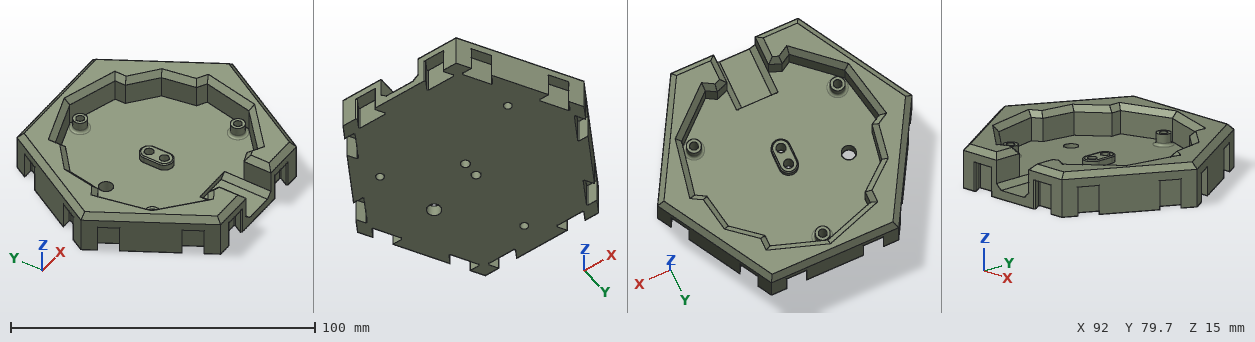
import cadquery as cq
import math

side_count = 6
across_corners = 92.0
across_flats = across_corners * math.cos(math.radians(30))
height = 15.0
edge_chamfer = 2.0
floor_z = 5.0

sector_count = 3
apex_radius = 34.0
valley_radius = 32.0
tooth_x = 18.1
tooth_outer_y = 28.0
tooth_inner_y = 24.0

exit_width = 15.0
channel_floor_z = 3.0
channel_floor_width = 10.8
channel_end_y = -21.7

post_count = 3
post_circle_radius = 30.0
post_diameter = 5.0
post_hole_diameter = 2.85
post_top_z = 9.0
post_fillet = 1.0

boss_hole_spacing = 6.0
boss_hole_diameter = 3.2
boss_width = 6.4
boss_top_z = 7.45
boss_chamfer_width = 0.5
boss_chamfer_height = 0.4

floor_hole_diameter = 5.0
floor_hole_position = (-20.0, 7.0)

notch_offset = 13.9
notch_height = 10.0
throat_width = 7.2
undercut_depth = 3.1
bevel_depth = 0.5
flank_slope = math.tan(math.radians(30))
lead_in = 0.5

overcut = 4.6


def make_body():
    body = cq.Workplane("XY").polygon(side_count, across_corners).extrude(height)
    return body.faces(">Z").chamfer(edge_chamfer)


def rotated(point, degrees):
    angle = math.radians(degrees)
    x, y = point
    return (
        x * math.cos(angle) - y * math.sin(angle),
        x * math.sin(angle) + y * math.cos(angle),
    )


def pocket_outline():
    """Corners of the pocket, clockwise from the apex at +Y."""
    sector_angle = 360 / sector_count
    valley_angle = 90 - sector_angle / 2
    outer_tooth = (tooth_x, tooth_outer_y)
    inner_tooth = (tooth_x, tooth_inner_y)
    valley = rotated((valley_radius, 0), valley_angle)
    mirrored_teeth = [rotated((x, -y), 2 * valley_angle) for x, y in (inner_tooth, outer_tooth)]
    sector = [(0, apex_radius), outer_tooth, inner_tooth, valley] + mirrored_teeth
    return [rotated(point, -sector_angle * turn) for turn in range(sector_count) for point in sector]


def make_opening():
    """Pocket and cable exit joined, with a 45 degree flare around the top rim."""
    outer_y = -across_flats / 2 - overcut
    pocket = cq.Workplane("XY", origin=(0, 0, floor_z)).polyline(pocket_outline()).close()
    cable_exit = (
        cq.Workplane("XY", origin=(0, (outer_y + channel_end_y) / 2, floor_z))
        .rect(exit_width, channel_end_y - outer_y)
    )
    depth = height - floor_z
    walls = pocket.extrude(depth).union(cable_exit.extrude(depth))
    top_outline = walls.faces(">Z").wires().val()
    lower_rim = top_outline.translate((0, 0, -edge_chamfer))
    upper_rim = top_outline.offset2D(edge_chamfer, "intersection")[0]
    flare = cq.Solid.makeLoft([lower_rim, upper_rim], True)
    return walls.union(cq.Workplane(flare))


def make_channel():
    """Trapezoidal channel running from inside the pocket out through the front wall."""
    half_top = exit_width / 2
    half_bottom = channel_floor_width / 2
    return (
        cq.Workplane("XZ", origin=(0, channel_end_y, 0))
        .moveTo(-half_bottom, channel_floor_z)
        .lineTo(half_bottom, channel_floor_z)
        .lineTo(half_top, floor_z)
        .lineTo(-half_top, floor_z)
        .close()
        .extrude(across_flats / 2 + overcut)
    )


def post_centers():
    top_post = (0, post_circle_radius)
    return [rotated(top_post, index * 360 / post_count) for index in range(post_count)]


def make_posts():
    """Screw posts with filleted feet."""
    radius = post_diameter / 2
    post = (
        cq.Workplane("XZ")
        .moveTo(0, floor_z)
        .lineTo(radius + post_fillet, floor_z)
        .radiusArc((radius, floor_z + post_fillet), post_fillet)
        .lineTo(radius, post_top_z)
        .lineTo(0, post_top_z)
        .close()
        .revolve(360, (0, 0), (0, 1))
    )
    posts = cq.Workplane("XY")
    for x, y in post_centers():
        posts = posts.add(post.translate((x, y, 0)))
    return posts.combine()


def make_boss():
    boss = (
        cq.Workplane("XY")
        .workplane(offset=floor_z)
        .slot2D(boss_hole_spacing + boss_width, boss_width, 90)
        .extrude(boss_top_z - floor_z)
    )
    return boss.faces(">Z").chamfer(boss_chamfer_height, boss_chamfer_width)


def make_holes():
    """All vertical through holes."""
    def drill(points, diameter):
        return cq.Workplane("XY").pushPoints(points).circle(diameter / 2).extrude(height)

    boss_points = [(0, boss_hole_spacing / 2), (0, -boss_hole_spacing / 2)]
    return (
        drill(post_centers(), post_hole_diameter)
        .union(drill(boss_points, boss_hole_diameter))
        .union(drill([floor_hole_position], floor_hole_diameter))
    )


def make_notch(has_lead_in):
    """Dovetail notch in the middle of the front face, optionally set behind a 45 degree lead-in."""
    half_throat = throat_width / 2
    throat_y = -across_flats / 2
    flank = []
    if has_lead_in:
        flank.append((half_throat + lead_in, throat_y))
        throat_y += lead_in
    undercut_y = throat_y + undercut_depth
    flank += [
        (half_throat, throat_y),
        (half_throat + undercut_depth * flank_slope, undercut_y),
        (half_throat + (undercut_depth - bevel_depth) * flank_slope, undercut_y + bevel_depth),
    ]
    opposite_flank = [(-x, y) for x, y in reversed(flank)]
    return cq.Workplane("XY").polyline(flank + opposite_flank).close().extrude(notch_height)


def make_notches():
    """Two notches on every side; only those beside the cable exit have a lead-in."""
    notches = cq.Workplane("XY")
    for side in range(side_count):
        notch = make_notch(has_lead_in=(side == 0))
        turn = side * 360 / side_count
        for x in (-notch_offset, notch_offset):
            notches = notches.add(notch.translate((x, 0, 0)).rotate((0, 0, 0), (0, 0, 1), turn))
    return notches.combine()


result = (
    make_body()
    .cut(make_opening())
    .cut(make_channel())
    .union(make_posts())
    .union(make_boss())
    .cut(make_holes())
    .cut(make_notches())
)